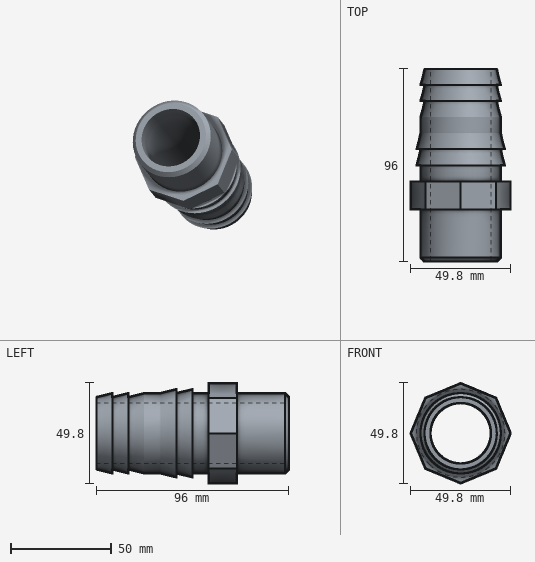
import cadquery as cq

length = 96.0
bore_diameter = 30.0
body_diameter = 40.0

collar_across_corners = 49.8
collar_start = 26.0
collar_width = 14.0
collar_sides = 8

barb_pitch = length / 12
small_barb_count = 3
large_barb_count = 2
small_barb_tip_diameter = 36.0
large_barb_diameter = 44.0
large_barb_tip_diameter = body_diameter

spigot_chamfer = 2.0
hose_end_fillet = 1.0

small_barbs_start = length - small_barb_count * barb_pitch
large_barbs_start = small_barbs_start - (large_barb_count + 1) * barb_pitch


def barb_points(start, count, root_diameter, tip_diameter):
    """Return (y, radius) points of a row of barbs, wide end first."""
    points = []
    for index in range(count):
        barb_start = start + index * barb_pitch
        points.append((barb_start, root_diameter / 2))
        points.append((barb_start + barb_pitch, tip_diameter / 2))
    return points


def make_body():
    """Revolve the solid outer profile about Y."""
    body_radius = body_diameter / 2
    profile = [
        (0, 0),
        (0, body_radius - spigot_chamfer),
        (spigot_chamfer, body_radius),
        (large_barbs_start, body_radius),
    ]
    profile += barb_points(
        large_barbs_start, large_barb_count, large_barb_diameter, large_barb_tip_diameter
    )
    profile += barb_points(
        small_barbs_start, small_barb_count, body_diameter, small_barb_tip_diameter
    )
    profile.append((length, 0))
    body = cq.Workplane("YZ").polyline(profile).close().revolve(360, (0, 0, 0), (1, 0, 0))
    return body.faces(">Y").edges().fillet(hose_end_fillet)


def make_collar():
    """Octagonal prism with corners on the X and Z axes."""
    return (
        cq.Workplane("XZ", origin=(0, collar_start, 0))
        .polygon(collar_sides, collar_across_corners)
        .extrude(-collar_width)
    )


bore = cq.Workplane("XZ").circle(bore_diameter / 2).extrude(-length)
result = make_body().union(make_collar()).cut(bore)